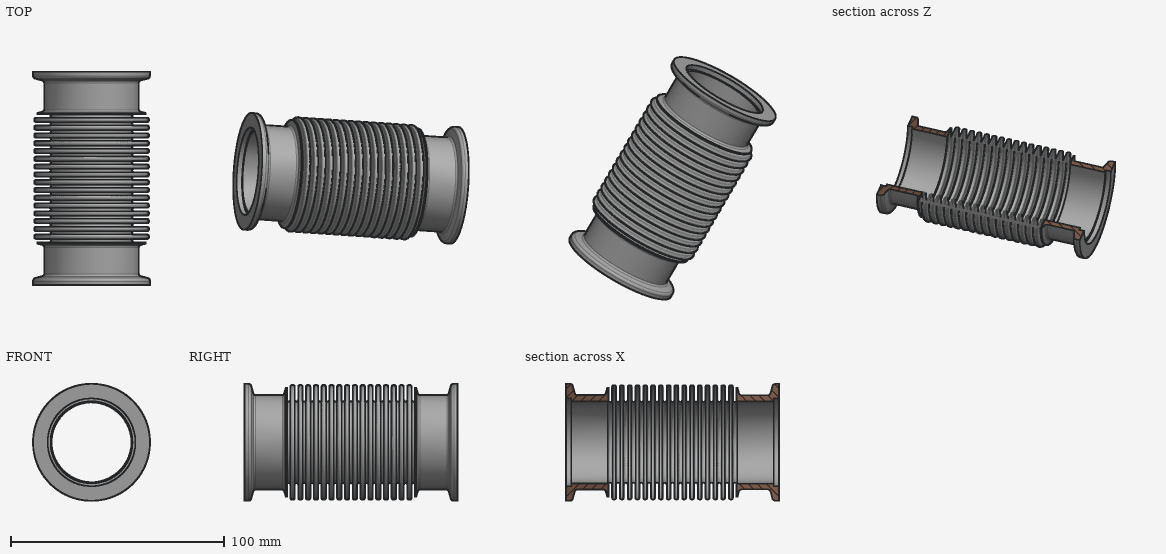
import cadquery as cq
import math


total_length = 100.05

rim_radius = 55 / 2
rim_width = 1.85
rim_fillet = 1.5
taper_angle = math.radians(15)
tube_radius = 44.5 / 2
tube_fillet = 1.0
bore_radius = 38.5 / 2
counterbore_radius = 41.2 / 2
counterbore_depth = 2.5

collar_radius = 51 / 2
collar_width = 0.3

convolution_count = 16
pitch = 3.652
wall = 0.37
crest_radius = 54 / 2
bellows_bore_radius = 37.4 / 2

convex_bend = pitch / 4 + wall / 2
concave_bend = pitch / 4 - wall / 2
crest_center_radius = crest_radius - convex_bend
root_center_radius = bellows_bore_radius + convex_bend
root_span = convolution_count * pitch
bellows_half_length = root_span / 2 + convex_bend
flange_length = total_length / 2 - bellows_half_length


def make_bellows():
    """Convoluted tube with a flat disc at each end that seats on the weld collars."""
    first_root = -root_span / 2
    roots = [first_root + i * pitch for i in range(convolution_count + 1)]
    crests = [root + pitch / 2 for root in roots[:-1]]

    profile = cq.Workplane("XY").moveTo(collar_radius, -bellows_half_length)
    profile = profile.lineTo(collar_radius, first_root - concave_bend)
    for i, root in enumerate(roots):
        profile = (
            profile.lineTo(root_center_radius, root - concave_bend)
            .threePointArc(
                (root_center_radius - concave_bend, root),
                (root_center_radius, root + concave_bend),
            )
        )
        if i < convolution_count:
            crest = crests[i]
            profile = (
                profile.lineTo(crest_center_radius, crest - convex_bend)
                .threePointArc((crest_radius, crest), (crest_center_radius, crest + convex_bend))
            )
    profile = profile.lineTo(collar_radius, roots[-1] + concave_bend)
    profile = profile.lineTo(collar_radius, bellows_half_length)

    for i in reversed(range(convolution_count + 1)):
        root = roots[i]
        profile = (
            profile.lineTo(root_center_radius, root + convex_bend)
            .threePointArc((bellows_bore_radius, root), (root_center_radius, root - convex_bend))
        )
        if i > 0:
            crest = crests[i - 1]
            profile = (
                profile.lineTo(crest_center_radius, crest + concave_bend)
                .threePointArc(
                    (crest_center_radius + concave_bend, crest),
                    (crest_center_radius, crest - concave_bend),
                )
            )
    return profile.close().revolve(360, (0, 0, 0), (0, 1, 0))


def make_flange():
    """Flange at the -Y end: tapered rim, plain tube, tapered weld collar and stepped bore."""
    outer_face = -total_length / 2
    inner_face = outer_face + flange_length

    axial_turn = math.cos(taper_angle)
    radial_turn = 1 - math.sin(taper_angle)
    mid_angle = (math.pi / 2 - taper_angle) / 2
    mid_axial = math.sin(mid_angle)
    mid_radial = 1 - math.cos(mid_angle)

    rim_arc_start = outer_face + rim_width
    rim_taper_radius = rim_radius - rim_fillet * radial_turn
    rim_taper_start = rim_arc_start + rim_fillet * axial_turn
    tube_taper_radius = tube_radius + tube_fillet * radial_turn
    rim_taper_end = rim_taper_start + (rim_taper_radius - tube_taper_radius) * math.tan(taper_angle)
    tube_start = rim_taper_end + tube_fillet * axial_turn

    collar_taper_end = inner_face - collar_width
    collar_taper_start = collar_taper_end - (collar_radius - tube_taper_radius) * math.tan(taper_angle)
    tube_end = collar_taper_start - tube_fillet * axial_turn

    profile = (
        cq.Workplane("XY")
        .moveTo(counterbore_radius, outer_face)
        .lineTo(rim_radius, outer_face)
        .lineTo(rim_radius, rim_arc_start)
        .threePointArc(
            (rim_radius - rim_fillet * mid_radial, rim_arc_start + rim_fillet * mid_axial),
            (rim_taper_radius, rim_taper_start),
        )
        .lineTo(tube_taper_radius, rim_taper_end)
        .threePointArc(
            (tube_radius + tube_fillet * mid_radial, tube_start - tube_fillet * mid_axial),
            (tube_radius, tube_start),
        )
        .lineTo(tube_radius, tube_end)
        .threePointArc(
            (tube_radius + tube_fillet * mid_radial, tube_end + tube_fillet * mid_axial),
            (tube_taper_radius, collar_taper_start),
        )
        .lineTo(collar_radius, collar_taper_end)
        .lineTo(collar_radius, inner_face)
        .lineTo(bore_radius, inner_face)
        .lineTo(bore_radius, outer_face + counterbore_depth)
        .lineTo(counterbore_radius, outer_face + counterbore_depth)
        .close()
    )
    return profile.revolve(360, (0, 0, 0), (0, 1, 0))


bellows = make_bellows()
flanges = [make_flange().rotate((0, 0, 0), (0, 0, 1), angle) for angle in (0, 180)]

result = cq.Compound.makeCompound([bellows.val(), *[flange.val() for flange in flanges]])